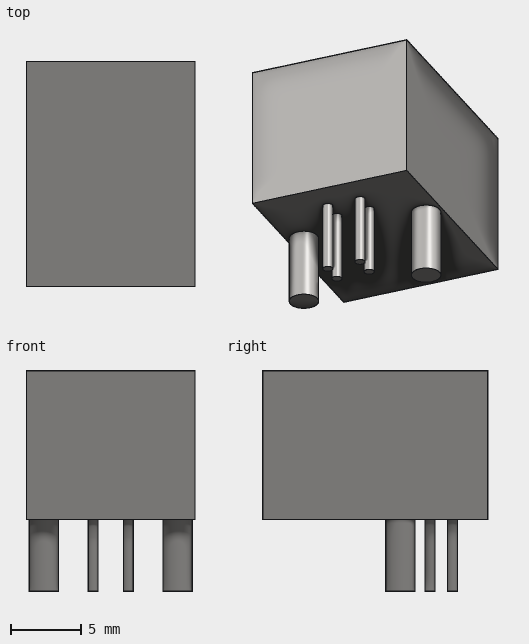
import cadquery as cq

width = 12.0
depth = 16.0
total_height = 15.7
pin_length = 5.1
housing_height = total_height - pin_length

post_diameter = 2.1
post_spacing = 9.5
post_y = 1.8

contact_diameter = 0.72
contact_spacing = 2.51
contact_rear_y = 5.49
contact_row_pitch = 1.6


def make_housing():
    """Plain block standing on the plane Z = 0."""
    return cq.Workplane("XY").box(width, depth, housing_height, centered=(True, True, False))


def make_pin(diameter, x, y):
    """Round pin hanging down from the underside of the housing."""
    return cq.Workplane("XY").center(x, y).circle(diameter / 2).extrude(-pin_length)


housing = make_housing()

posts = []
for side in (-1, 1):
    post = make_pin(post_diameter, side * post_spacing / 2, post_y)
    posts.append(post.val())

contacts = []
for row_y in (contact_rear_y, contact_rear_y - contact_row_pitch):
    for side in (-1, 1):
        contact = make_pin(contact_diameter, side * contact_spacing / 2, row_y)
        contacts.append(contact.val())

result = cq.Compound.makeCompound([housing.val(), *posts, *contacts])